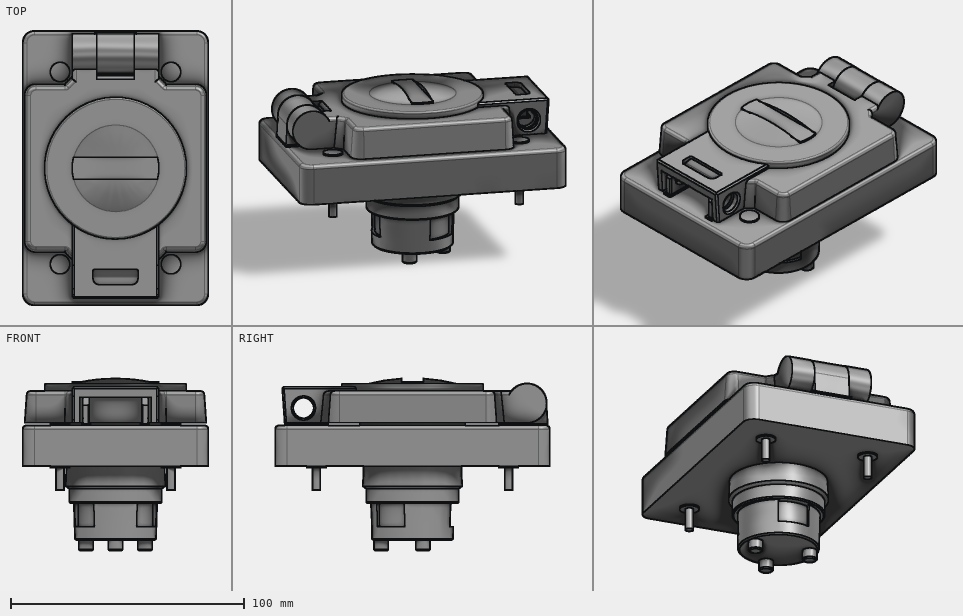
import cadquery as cq
import math


plate_width = 79.4
plate_length = 117.5
plate_thickness = 17.5
plate_corner_radius = 5.0
top_edge_radius = 1.6

screw_x = 23.7
screw_y = 41.1
screw_head_diameter = 8.3
screw_head_height = 0.7
screw_shank_diameter = 3.5
screw_tip_z = -10.2

cover_bottom_z = 18.6
cover_top_z = 32.2
cover_half_width = 38.9
cover_half_length = 36.0
cover_corner_radius = 4.7
cover_draft = 4.0
neck_half_width = 18.5
neck_chamfer = 3.3
seal_diameter = 45.2

lid_diameter = 60.7
lid_top_z = 35.4
lid_edge_radius = 0.8
dome_radius = 18.6
dome_height = 2.3
nameplate_half_width = 4.7
nameplate_z = 36.1

hinge_y = 49.0
hinge_radius = 8.5
hinge_z = cover_bottom_z + hinge_radius
knuckle_radius = 8.3
knuckle_half_width = 8.0
knuckle_foot_half_width = 8.9
knuckle_foot_y = 57.9
foot_height = 0.7
notch_top_y = 38.0
notch_wall_y = 39.5
notch_bottom_y = 40.0

tab_top_z = 34.1
tab_front_top_y = -55.8
tab_front_bottom_y = -54.7
tab_back_y = -21.1
tab_edge = 0.8
tab_leg_inner_x = 15.3
tab_roof_z = 29.6
padlock_y = -46.6
padlock_z = 24.9
padlock_diameter = 8.7
padlock_countersink_diameter = 10.3

finger_half_width = 9.6
finger_back_y = -43.2
finger_mid_y = -46.4
finger_front_y = -49.8
finger_back_depth = 1.3
finger_front_depth = 2.1
finger_back_radius = 0.8
finger_front_radius = 2.6

lug_inner_x = 11.2
lug_outer_x = 14.0
lug_front_y = -53.8
lug_shoulder_z = 26.1
lug_foot_margin = 0.5
lug_front_chamfer = 0.6

collar_top_radius = 21.0
collar_bottom_radius = 21.4
collar_bottom_z = -8.5
ring_radius = 19.9
ring_top_z = -9.6
ring_bottom_z = -15.9
ring_edge = 0.6
plug_top_radius = 17.9
plug_bottom_radius = 17.4
plug_bottom_z = -31.7
plug_edge = 0.7
window_angles = (90, 215, 325)
window_width = 14.3
window_bottom_z = -25.8
window_floor_radius = 16.1
window_corner_radius = 0.6
pin_circle_radius = 13.4
pin_angles = (19.5, 160.5, 270)
pin_diameter = 6.2
pin_tip_z = -36.2
pin_edge = 0.6


def block(x_range, y_range, z_range):
    """Axis-aligned box between the given limits."""
    sizes = [high - low for low, high in (x_range, y_range, z_range)]
    corner = (x_range[0], y_range[0], z_range[0])
    return cq.Workplane("XY").box(*sizes, centered=False).translate(corner)


def cylinder(diameter, z_bottom, z_top):
    """Upright cylinder on the Z axis."""
    height = z_top - z_bottom
    return cq.Workplane("XY").workplane(offset=z_bottom).circle(diameter / 2).extrude(height)


def side_profile(points, x_low, x_high):
    """Closed (y, z) outline swept along X between two limits."""
    return cq.Workplane("YZ").workplane(offset=x_low).polyline(points).close().extrude(x_high - x_low)


def cross_cylinder(diameter, y, z, x_low, x_high):
    """Cylinder lying along X."""
    plane = cq.Workplane("YZ").workplane(offset=x_low)
    return plane.center(y, z).circle(diameter / 2).extrude(x_high - x_low)


def base_plate():
    plate = cq.Workplane("XY").rect(plate_width, plate_length).extrude(plate_thickness)
    return plate.edges("|Z").fillet(plate_corner_radius).faces(">Z").edges().fillet(top_edge_radius)


def screws():
    head_top_z = plate_thickness + screw_head_height
    head = cylinder(screw_head_diameter, -screw_head_height, head_top_z)
    screw = head.union(cylinder(screw_shank_diameter, screw_tip_z, 0))
    group = cq.Workplane("XY")
    for x in (-screw_x, screw_x):
        for y in (-screw_y, screw_y):
            group = group.union(screw.translate((x, y, 0)))
    return group


def cover_body():
    """Drafted cover with chamfered steps at both ends, plus the straight neck to the hinge."""
    height = cover_top_z - cover_bottom_z
    step_x = neck_half_width + neck_chamfer
    end_y = cover_half_length + neck_chamfer
    outline = [
        (cover_half_width, cover_half_length),
        (step_x, cover_half_length),
        (neck_half_width, end_y),
        (-neck_half_width, end_y),
        (-step_x, cover_half_length),
        (-cover_half_width, cover_half_length),
    ]
    outline += [(-x, -y) for x, y in outline]
    flat = cq.Workplane("XY").polyline(outline).close().extrude(height)
    rounded = flat.edges("|Z and (>X or <X)").fillet(cover_corner_radius)
    body = rounded.faces("<Z").wires().toPending().extrude(height, taper=cover_draft, combine=False)
    body = body.translate((0, 0, cover_bottom_z))
    body = body.faces(">Z").edges().fillet(top_edge_radius)

    neck_x = (-neck_half_width, neck_half_width)
    neck = block(neck_x, (0, hinge_y), (cover_bottom_z, cover_top_z))
    neck = neck.faces(">Z").edges("|Y").fillet(top_edge_radius)
    return body.union(neck)


def round_lid():
    """Disc with a shallow dome, crossed by a flat nameplate channel."""
    lid = cylinder(lid_diameter, cover_top_z, lid_top_z).faces(">Z").edges().fillet(lid_edge_radius)
    dome = (
        cq.Workplane("XZ")
        .moveTo(0, lid_top_z)
        .lineTo(dome_radius, lid_top_z)
        .radiusArc((0, lid_top_z + dome_height), -(dome_radius**2 + dome_height**2) / (2 * dome_height))
        .close()
        .revolve(360, (0, 0, 0), (0, 1, 0))
    )
    channel_x = (-dome_radius, dome_radius)
    channel_y = (-nameplate_half_width, nameplate_half_width)
    dome = dome.cut(block(channel_x, channel_y, (lid_top_z, lid_top_z + dome_height)))
    nameplate = cylinder(2 * dome_radius, lid_top_z, nameplate_z)
    nameplate = nameplate.intersect(block(channel_x, channel_y, (lid_top_z, nameplate_z)))
    return lid.union(dome).union(nameplate)


def hinge_notch():
    """Gap in the cover and side barrels that clears the centre knuckle."""
    hinge_top_z = hinge_z + hinge_radius
    notch_chamfer = notch_wall_y - notch_top_y
    profile = [
        (notch_top_y, hinge_top_z),
        (notch_top_y, cover_top_z),
        (notch_wall_y, cover_top_z - notch_chamfer),
        (notch_bottom_y, cover_bottom_z),
        (knuckle_foot_y, cover_bottom_z),
        (knuckle_foot_y, hinge_top_z),
    ]
    return side_profile(profile, -knuckle_half_width, knuckle_half_width)


def hinge_barrel():
    """Full-width hinge barrel, before the centre gap is cut."""
    return cross_cylinder(2 * hinge_radius, hinge_y, hinge_z, -neck_half_width, neck_half_width)


def centre_knuckle():
    """Slightly smaller barrel between the side barrels, carried down to the plate."""
    barrel = cross_cylinder(2 * knuckle_radius, hinge_y, hinge_z, -knuckle_half_width, knuckle_half_width)
    support_profile = [
        (hinge_y, plate_thickness),
        (knuckle_foot_y, plate_thickness),
        (hinge_y + knuckle_radius, hinge_z),
        (hinge_y, hinge_z),
    ]
    support = side_profile(support_profile, -knuckle_half_width, knuckle_half_width)
    foot = block(
        (-knuckle_foot_half_width, knuckle_foot_half_width),
        (hinge_y - knuckle_radius, knuckle_foot_y),
        (plate_thickness, plate_thickness + foot_height),
    )
    return barrel.union(support).union(foot)


def finger_notch():
    """Pocket with a floor that slopes down towards the front, then runs flat."""
    profile = [
        (finger_back_y, tab_top_z),
        (finger_back_y, tab_top_z - finger_back_depth),
        (finger_mid_y, tab_top_z - finger_front_depth),
        (finger_front_y, tab_top_z - finger_front_depth),
        (finger_front_y, tab_top_z),
    ]
    notch = side_profile(profile, -finger_half_width, finger_half_width)
    notch = notch.edges("|Z and >Y").fillet(finger_back_radius)
    return notch.edges("|Z and <Y").fillet(finger_front_radius)


def latch_tab():
    profile = [
        (tab_back_y, tab_top_z),
        (tab_front_top_y, tab_top_z),
        (tab_front_bottom_y, cover_bottom_z),
        (tab_back_y, cover_bottom_z),
    ]
    tab = side_profile(profile, -neck_half_width, neck_half_width)
    tab = tab.faces("<Y").edges("not <Z").chamfer(tab_edge)
    tab = tab.edges("|Y and >Z").chamfer(tab_edge)
    cavity_y = (tab_front_top_y, -cover_half_length - neck_chamfer)
    cavity = block((-tab_leg_inner_x, tab_leg_inner_x), cavity_y, (cover_bottom_z, tab_roof_z))
    return tab.cut(cavity).cut(finger_notch())


def padlock_lugs():
    """Pair of upright lugs behind the tab legs, each on a low foot."""
    back_y = -cover_half_length
    shoulder_run = tab_roof_z - lug_shoulder_z
    profile = [
        (lug_front_y, plate_thickness),
        (lug_front_y, lug_shoulder_z),
        (lug_front_y + shoulder_run, tab_roof_z),
        (back_y, tab_roof_z),
        (back_y, plate_thickness),
    ]
    foot = block(
        (lug_inner_x - lug_foot_margin, lug_outer_x + lug_foot_margin),
        (tab_front_bottom_y, back_y),
        (plate_thickness, plate_thickness + foot_height),
    )
    lug = side_profile(profile, lug_inner_x, lug_outer_x)
    lug = lug.faces("<Y").edges("|Z and <X").chamfer(lug_front_chamfer).union(foot)
    return lug.union(lug.mirror("YZ"))


def padlock_hole():
    """Cross hole through legs and lugs, countersunk on the outer faces."""
    hole = cross_cylinder(padlock_diameter, padlock_y, padlock_z, -neck_half_width, neck_half_width)
    depth = (padlock_countersink_diameter - padlock_diameter) / 2
    rim = (
        cq.Workplane("YZ", origin=(neck_half_width - depth, padlock_y, padlock_z))
        .circle(padlock_diameter / 2)
        .workplane(offset=depth)
        .circle(padlock_countersink_diameter / 2)
        .loft()
    )
    return hole.union(rim).union(rim.mirror("YZ"))


def connector():
    """Stepped round connector body with side windows."""
    profile = [
        (0, 0),
        (collar_top_radius, 0),
        (collar_bottom_radius, collar_bottom_z),
        (ring_radius, ring_top_z),
        (ring_radius, ring_bottom_z + ring_edge),
        (ring_radius - ring_edge, ring_bottom_z),
        (plug_top_radius, ring_bottom_z),
        (plug_bottom_radius, plug_bottom_z + plug_edge),
        (plug_bottom_radius - plug_edge, plug_bottom_z),
        (0, plug_bottom_z),
    ]
    body = cq.Workplane("XZ").polyline(profile).close().revolve(360, (0, 0, 0), (0, 1, 0))
    window = block(
        (0, ring_radius), (-window_width / 2, window_width / 2), (window_bottom_z, ring_bottom_z)
    )
    window = window.edges("|X").fillet(window_corner_radius)
    window = window.cut(cylinder(2 * window_floor_radius, window_bottom_z, ring_bottom_z))
    for angle in window_angles:
        body = body.cut(window.rotate((0, 0, 0), (0, 0, 1), angle))
    return body


def contact_pins():
    pin = cylinder(pin_diameter, pin_tip_z, plug_bottom_z).faces("<Z").edges().chamfer(pin_edge)
    group = cq.Workplane("XY")
    for angle in pin_angles:
        x = pin_circle_radius * math.cos(math.radians(angle))
        y = pin_circle_radius * math.sin(math.radians(angle))
        group = group.union(pin.translate((x, y, 0)))
    return group


cover = cover_body().union(hinge_barrel()).cut(hinge_notch()).union(round_lid()).union(latch_tab())
seal = cylinder(seal_diameter, plate_thickness, cover_bottom_z)
top_side = cover.union(centre_knuckle()).union(padlock_lugs()).cut(padlock_hole()).union(seal)
under_side = connector().union(contact_pins())
result = base_plate().union(screws()).union(top_side).union(under_side)